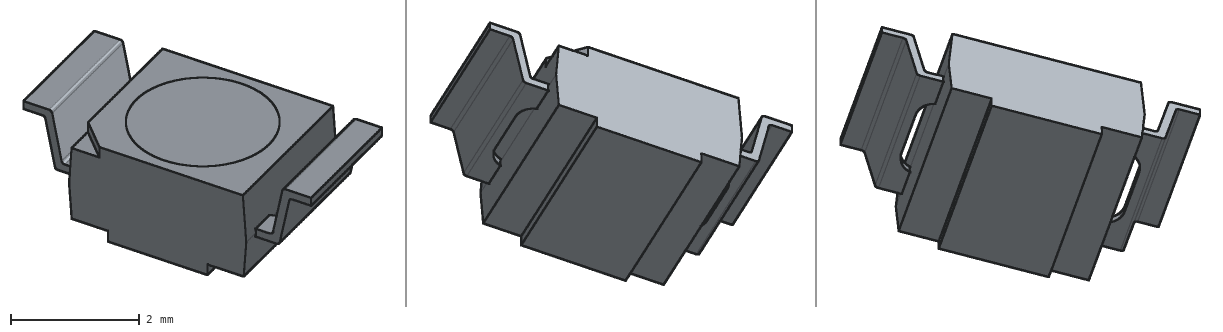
import cadquery as cq
import math

length = 5.2
height = 1.9
housing_depth = 2.8
housing_top = 1.75
waist_half_width = 1.6
side_draft = 4.0
base_height = 0.205
base_width = 1.8

lens_diameter = 2.4
lens_thickness = 0.2

notch_leg = 0.49
notch_depth = 0.2

lead_depth = 2.2
lead_thickness = 0.15
foot_bottom = 0.8
web_lean = 11.3
web_foot_x = 2.025
bend_radius = 0.055
lead_end_x = 1.455
window_x = 1.825
window_depth = 1.35
window_radius = 0.3

waist_z = foot_bottom + lead_thickness / 2
draft_slope = math.tan(math.radians(side_draft))
top_half_width = waist_half_width - (housing_top - waist_z) * draft_slope
bottom_half_width = waist_half_width - (waist_z - base_height) * draft_slope


def extrude_along_y(profile, depth):
    """Extrude an XZ profile symmetrically about Y = 0."""
    return profile.close().extrude(depth / 2, both=True)


def make_lead():
    """Z-bent lead on the +X side, with a window that leaves two prongs entering the housing."""
    slope = math.tan(math.radians(web_lean))
    web_width = lead_thickness / math.cos(math.radians(web_lean))
    tip_x = length / 2
    foot_top = foot_bottom + lead_thickness
    tip_bottom = height - lead_thickness

    def web_outer(z):
        return web_foot_x + (z - foot_bottom) * slope

    def web_inner(z):
        return web_outer(z) - web_width

    bends = [
        (web_outer(foot_bottom), foot_bottom),
        (web_outer(tip_bottom), tip_bottom),
        (web_inner(height), height),
        (web_inner(foot_top), foot_top),
    ]
    outline = [
        (lead_end_x, foot_bottom),
        bends[0],
        bends[1],
        (tip_x, tip_bottom),
        (tip_x, height),
        bends[2],
        bends[3],
        (lead_end_x, foot_top),
    ]
    lead = extrude_along_y(cq.Workplane("XZ").polyline(outline), lead_depth)
    for x, z in bends:
        bend_edge = cq.selectors.NearestToPointSelector((x, 0, z))
        lead = lead.edges(bend_edge).fillet(bend_radius)

    window_length = window_x - lead_end_x
    window = (
        cq.Workplane("XY", origin=(lead_end_x + window_length / 2, 0, foot_bottom))
        .rect(window_length, window_depth)
        .extrude(lead_thickness)
        .edges("|Z and >X")
        .fillet(window_radius)
    )
    return lead.cut(window)


def make_lens():
    """Round lens, flush with the top of the housing."""
    lens_bottom = housing_top - lens_thickness
    return cq.Workplane("XY").workplane(offset=lens_bottom).circle(lens_diameter / 2).extrude(lens_thickness)


def make_corner_notch():
    """Triangular cutter for the polarity mark at the -X, -Y top corner."""
    front_y = -housing_depth / 2
    diagonal_end_x = notch_leg - top_half_width
    reach = diagonal_end_x + waist_half_width
    return (
        cq.Workplane("XY")
        .workplane(offset=housing_top - notch_depth)
        .moveTo(diagonal_end_x, front_y)
        .lineTo(-waist_half_width, front_y + reach)
        .lineTo(-waist_half_width, front_y)
        .close()
        .extrude(notch_depth)
    )


def make_housing(inserts):
    """Housing with drafted sides, base and corner notch, recessed for the bodies it holds."""
    outline = [
        (-bottom_half_width, base_height),
        (-waist_half_width, waist_z),
        (-top_half_width, housing_top),
        (top_half_width, housing_top),
        (waist_half_width, waist_z),
        (bottom_half_width, base_height),
        (base_width / 2, base_height),
        (base_width / 2, 0),
        (-base_width / 2, 0),
        (-base_width / 2, base_height),
    ]
    housing = extrude_along_y(cq.Workplane("XZ").polyline(outline), housing_depth)
    housing = housing.cut(make_corner_notch())
    for insert in inserts:
        housing = housing.cut(insert)
    return housing


leads = [make_lead().rotate((0, 0, 0), (0, 0, 1), angle) for angle in (0, 180)]
lens = make_lens()
housing = make_housing([lens, *leads])

result = cq.Compound.makeCompound([housing.val(), lens.val(), *[lead.val() for lead in leads]])